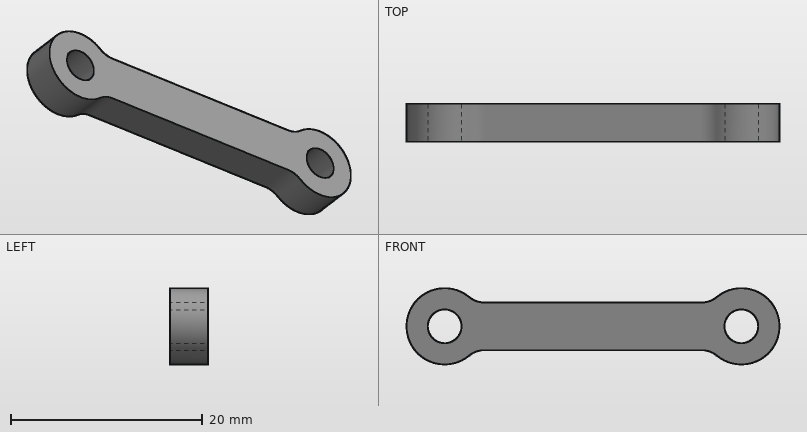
import cadquery as cq
import math

hole_spacing = 31.0
eye_radius = 4.0
hole_diameter = 3.5
bar_height = 5.0
thickness = 4.0
neck_radius = 2.5

half_spacing = hole_spacing / 2
half_bar = bar_height / 2
half_thickness = thickness / 2

neck_center_z = half_bar + neck_radius
neck_offset = math.sqrt((eye_radius + neck_radius) ** 2 - neck_center_z**2)
neck_center_x = half_spacing - neck_offset
tangent_share = eye_radius / (eye_radius + neck_radius)
touch_x = half_spacing - neck_offset * tangent_share
touch_z = neck_center_z * tangent_share


def neck_midpoint():
    """Point halfway along the right upper neck arc."""
    start_angle = -math.pi / 2
    end_angle = math.atan2(touch_z - neck_center_z, touch_x - neck_center_x)
    middle = (start_angle + end_angle) / 2
    return (
        neck_center_x + neck_radius * math.cos(middle),
        neck_center_z + neck_radius * math.sin(middle),
    )


def link_body():
    """Straight bar flowing into a round eye at each end, centred on the origin."""
    mid_x, mid_z = neck_midpoint()
    end_x = half_spacing + eye_radius
    return (
        cq.Workplane("XZ")
        .moveTo(-neck_center_x, half_bar)
        .lineTo(neck_center_x, half_bar)
        .threePointArc((mid_x, mid_z), (touch_x, touch_z))
        .threePointArc((end_x, 0), (touch_x, -touch_z))
        .threePointArc((mid_x, -mid_z), (neck_center_x, -half_bar))
        .lineTo(-neck_center_x, -half_bar)
        .threePointArc((-mid_x, -mid_z), (-touch_x, -touch_z))
        .threePointArc((-end_x, 0), (-touch_x, touch_z))
        .threePointArc((-mid_x, mid_z), (-neck_center_x, half_bar))
        .close()
        .extrude(thickness)
        .translate((0, half_thickness, 0))
    )


def pin_holes():
    """Cylinders that pierce both eyes."""
    return (
        cq.Workplane("XZ")
        .pushPoints([(-half_spacing, 0), (half_spacing, 0)])
        .circle(hole_diameter / 2)
        .extrude(thickness)
        .translate((0, half_thickness, 0))
    )


result = link_body().cut(pin_holes())